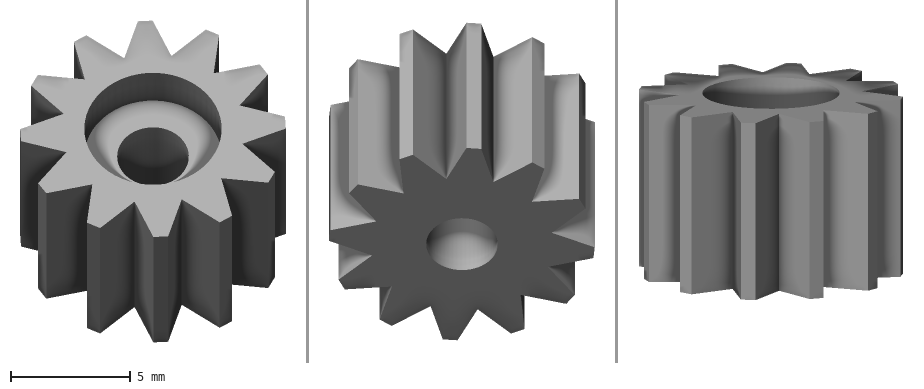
import cadquery as cq
import math

tooth_count = 12
tip_distance = 5.56
tip_width = 0.62
root_radius = 3.83
height = 7.62
bore_diameter = 3.0
recess_diameter = 5.77
recess_depth = 2.0

tooth_pitch = 2 * math.pi / tooth_count


def polar_point(radius, angle):
    return (radius * math.cos(angle), radius * math.sin(angle))


def gear_outline():
    """Straight-sided teeth with flat tips and sharp V-shaped gaps."""
    tip_radius = math.hypot(tip_distance, tip_width / 2)
    tip_half_angle = math.atan2(tip_width / 2, tip_distance)
    points = []
    for tooth in range(tooth_count):
        center_angle = tooth * tooth_pitch
        points.append(polar_point(tip_radius, center_angle - tip_half_angle))
        points.append(polar_point(tip_radius, center_angle + tip_half_angle))
        points.append(polar_point(root_radius, center_angle + tooth_pitch / 2))
    return points


gear = cq.Workplane("XY").polyline(gear_outline()).close().extrude(height)

result = gear.faces(">Z").workplane().cboreHole(bore_diameter, recess_diameter, recess_depth)